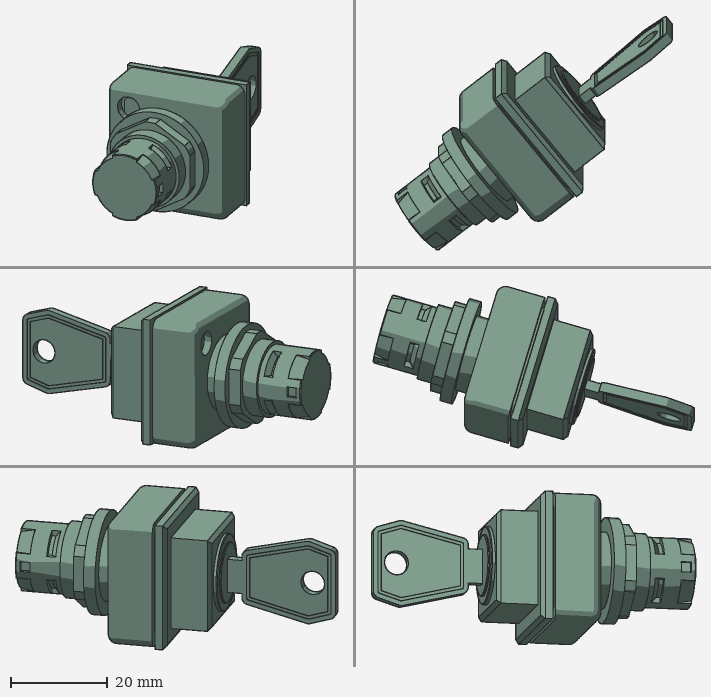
import cadquery as cq
import math

total_length = 66.8

barrel_end_y = 9.75
nut_start_y = 12.95
washer_start_y = 15.55
washer_end_y = 18.05
housing_start_y = 21.05
housing_end_y = 30.9
plate_start_y = 31.5
plate_end_y = 33.95
head_end_y = 42.55
cap_end_y = 43.35
disc_end_y = 43.75
bow_start_y = 46.75

barrel_diameter = 14.6
barrel_chamfer = 0.2
sleeve_diameter = 16.0
washer_diameter = 22.0
nut_across_flats = 18.0
nut_corner_diameter = 19.5

window_start_y = 6.6
window_end_y = 8.55
window_core_diameter = 12.5
window_inner_edge = 2.55
recess_end_y = 3.1
recess_front_diameter = 13.4
recess_back_diameter = 14.5
recess_inner_edge = 2.75

side_hole_size = 2.15
side_hole_center_y = 2.1
side_hole_floor_diameter = 13.0

housing_size = 26.9
housing_fillet = 2.0
neck_size = 23.25
neck_corner_radius = 2.0
plate_chamfer = 0.8
head_size = 19.7
head_chamfer = 0.8

sight_hole_diameter = 5.0
sight_hole_offset = 8.5
sight_hole_depth = 1.7
inner_block_face_size = 20.3
inner_block_bevel_width = 1.35
inner_block_bevel_depth = 0.55
inner_block_corner = 1.4

cap_diameter = 16.2
disc_diameter = 12.9
cap_chamfer = 0.2

key_thickness = 2.0
key_center_z = -0.4
key_corner_radius = 1.5
bow_peak_y = 61.0
bow_peak_half_height = 9.0
bow_end_half_height = 7.2
bow_start_half_height = 5.6
blade_width = 7.2
blade_embed = 2.0
blade_overlap = 0.5
key_hole_diameter = 5.0
key_hole_y = 61.9
groove_outer_inset = 1.0
groove_width = 0.7
groove_depth = 0.2


def cylinder(diameter, start_y, end_y):
    """Round bar on the Y axis."""
    return cq.Workplane("XZ", origin=(0, end_y, 0)).circle(diameter / 2).extrude(end_y - start_y)


def square_bar(size, start_y, end_y):
    """Square bar on the Y axis."""
    return cq.Workplane("XZ", origin=(0, end_y, 0)).rect(size, size).extrude(end_y - start_y)


def cone(start_diameter, end_diameter, start_y, end_y):
    """Truncated cone on the Y axis."""
    return (
        cq.Workplane("XY")
        .moveTo(0, start_y)
        .lineTo(start_diameter / 2, start_y)
        .lineTo(end_diameter / 2, end_y)
        .lineTo(0, end_y)
        .close()
        .revolve(360, (0, 0, 0), (0, 1, 0))
    )


def diagonal_corners(inner_edge, start_y, end_y):
    """Four square blocks that lie outside a cross of half width inner_edge."""
    reach = barrel_diameter / 2
    size = reach - inner_edge
    middle = (reach + inner_edge) / 2
    centers = [(sx * middle, sz * middle) for sx in (-1, 1) for sz in (-1, 1)]
    return (
        cq.Workplane("XZ", origin=(0, end_y, 0))
        .pushPoints(centers)
        .rect(size, size)
        .extrude(end_y - start_y)
    )


def make_barrel():
    barrel = cylinder(barrel_diameter, 0, barrel_end_y).faces("<Y").chamfer(barrel_chamfer)

    flare_length = (barrel_diameter - window_core_diameter) / 2
    flare_start_y = window_end_y - flare_length
    window_core = cylinder(window_core_diameter, window_start_y, flare_start_y).union(
        cone(window_core_diameter, barrel_diameter, flare_start_y, window_end_y)
    )
    windows = diagonal_corners(window_inner_edge, window_start_y, window_end_y).cut(window_core)

    recess_core = cone(recess_front_diameter, recess_back_diameter, 0, recess_end_y)
    recesses = diagonal_corners(recess_inner_edge, 0, recess_end_y).cut(recess_core)

    side_holes = (
        cq.Workplane("XY")
        .box(barrel_diameter, side_hole_size, side_hole_size)
        .translate((0, side_hole_center_y, 0))
        .cut(cylinder(side_hole_floor_diameter, 0, barrel_end_y))
    )
    return barrel.cut(windows).cut(recesses).cut(side_holes)


def make_nut():
    """Hexagon nut with flats facing X, its corners rounded off."""
    across_corners = nut_across_flats / math.cos(math.radians(30))
    hexagon = (
        cq.Workplane("XZ", origin=(0, washer_start_y, 0))
        .polygon(6, across_corners)
        .extrude(washer_start_y - nut_start_y)
        .rotate((0, 0, 0), (0, 1, 0), 30)
    )
    return hexagon.intersect(cylinder(nut_corner_diameter, nut_start_y, washer_start_y))


def make_sight_hole():
    """Round hole whose flat floor slopes away along two sides and their corner."""
    floor_y = housing_start_y + sight_hole_depth
    back_y = floor_y + inner_block_bevel_depth
    inner_block_size = inner_block_face_size + 2 * inner_block_bevel_width
    inner_block = (
        square_bar(inner_block_size, floor_y, housing_end_y)
        .edges("|Y")
        .chamfer(inner_block_corner)
        .faces("<Y")
        .chamfer(inner_block_bevel_width, inner_block_bevel_depth)
    )
    hole = cylinder(sight_hole_diameter, housing_start_y, back_y)
    return hole.translate((-sight_hole_offset, 0, sight_hole_offset)).cut(inner_block)


def make_housing():
    housing = square_bar(housing_size, housing_start_y, housing_end_y)
    housing = housing.edges("|Y").fillet(housing_fillet).faces("<Y").edges().fillet(housing_fillet)
    return housing.cut(make_sight_hole())


def make_neck():
    return square_bar(neck_size, housing_end_y, plate_start_y).edges("|Y").fillet(neck_corner_radius)


def make_plate():
    return square_bar(housing_size, plate_start_y, plate_end_y).faces(">Y").chamfer(plate_chamfer)


def make_head():
    return square_bar(head_size, plate_end_y, head_end_y).faces(">Y").chamfer(head_chamfer)


def make_cap():
    cap = cylinder(cap_diameter, head_end_y, cap_end_y).faces(">Y").chamfer(cap_chamfer)
    disc = cylinder(disc_diameter, cap_end_y, disc_end_y).faces(">Y").chamfer(cap_chamfer)
    return cap.union(disc)


def bow_outline(x, inset):
    """Closed outline of the key bow at plane x, moved inwards by inset."""
    points = [
        (bow_start_y, bow_start_half_height),
        (bow_peak_y, bow_peak_half_height),
        (total_length, bow_end_half_height),
    ]
    mirrored = [(y, -z) for y, z in reversed(points)]
    outline = cq.Workplane("YZ", origin=(x, 0, key_center_z)).polyline(points + mirrored).close()
    if inset > 0:
        outline = outline.offset2D(-inset)
    return outline


def make_key():
    half = key_thickness / 2
    bow = bow_outline(-half, 0).extrude(key_thickness).edges("|X").fillet(key_corner_radius)

    groove_outer_radius = key_corner_radius - groove_outer_inset
    for x in (-half, half - groove_depth):
        outer = bow_outline(x, groove_outer_inset).extrude(groove_depth)
        outer = outer.edges("|X").fillet(groove_outer_radius)
        inner = bow_outline(x, groove_outer_inset + groove_width).extrude(groove_depth)
        bow = bow.cut(outer.cut(inner))

    hole = (
        cq.Workplane("YZ", origin=(-half, key_hole_y, key_center_z))
        .circle(key_hole_diameter / 2)
        .extrude(key_thickness)
    )
    blade_start_y = disc_end_y - blade_embed
    blade_end_y = bow_start_y + blade_overlap
    blade_length = blade_end_y - blade_start_y
    blade = (
        cq.Workplane("XY")
        .box(key_thickness, blade_length, blade_width)
        .translate((0, (blade_start_y + blade_end_y) / 2, key_center_z))
    )
    return bow.cut(hole).union(blade)


result = (
    make_barrel()
    .union(cylinder(sleeve_diameter, barrel_end_y, housing_start_y))
    .union(make_nut())
    .union(cylinder(washer_diameter, washer_start_y, washer_end_y))
    .union(make_housing())
    .union(make_neck())
    .union(make_plate())
    .union(make_head())
    .union(make_cap())
    .union(make_key())
)